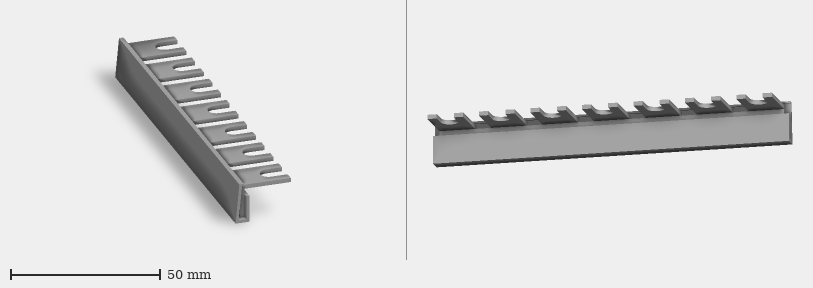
import cadquery as cq

length = 123.0
clip_depth = 4.9
clip_height = 14.3
wall = 1.1
back_wall_height = 9.6
front_lean = 1.4
lip_reach = 3.0
lip_thickness = 0.7

sheet = 1.5
tab_count = 7
tab_width = 12.3
comb_start = 2.0
tab_tip = 20.3
tab_top = 12.9
slot_width = 5.9
slot_depth = 8.7

strip_back = clip_depth - wall
strip_front = strip_back - sheet
comb_length = length - 2 * comb_start
tab_pitch = (comb_length - tab_width) / (tab_count - 1)


def make_clip():
    """Channel cross-section in YZ, extruded along X."""
    outline = [
        (0, 0),
        (clip_depth, 0),
        (clip_depth, back_wall_height),
        (strip_back, back_wall_height),
        (strip_back, wall),
        (wall, wall),
        (strip_front, clip_height - lip_thickness),
        (lip_reach, clip_height - lip_thickness),
        (lip_reach, clip_height),
        (front_lean, clip_height),
    ]
    return cq.Workplane("YZ").polyline(outline).close().extrude(length)


def make_strip():
    """Upright strip from the channel floor to the underside of the tabs."""
    strip_height = tab_top - sheet - wall
    strip = cq.Workplane("XY").box(comb_length, sheet, strip_height, centered=False)
    return strip.translate((comb_start, strip_front, wall))


def make_tab(left):
    """Horizontal tab with a round-bottomed slot open at its tip."""
    slot_radius = slot_width / 2
    slot_left = left + (tab_width - slot_width) / 2
    slot_right = slot_left + slot_width
    slot_bottom = tab_tip - slot_depth
    arc_start = slot_bottom + slot_radius
    return (
        cq.Workplane("XY", origin=(0, 0, tab_top - sheet))
        .moveTo(left, strip_front)
        .lineTo(left + tab_width, strip_front)
        .lineTo(left + tab_width, tab_tip)
        .lineTo(slot_right, tab_tip)
        .lineTo(slot_right, arc_start)
        .threePointArc((slot_left + slot_radius, slot_bottom), (slot_left, arc_start))
        .lineTo(slot_left, tab_tip)
        .lineTo(left, tab_tip)
        .close()
        .extrude(sheet)
    )


result = make_clip().union(make_strip())
for index in range(tab_count):
    result = result.union(make_tab(comb_start + index * tab_pitch))